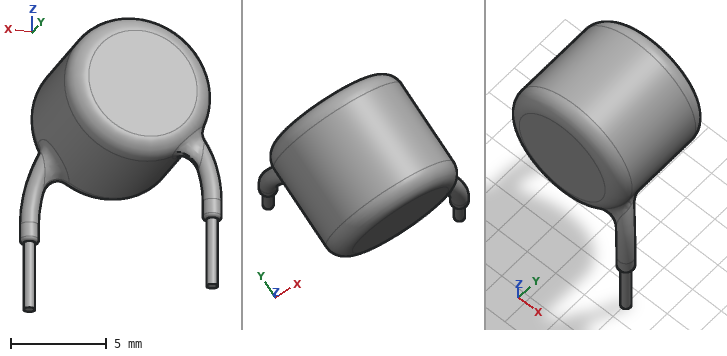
import cadquery as cq
import math

disc_diameter = 8.0
disc_thickness = 7.0
disc_edge_radius = 1.0

lead_spacing_x = 8.01
lead_spacing_y = 6.0
left_side = -1
right_side = 1

sleeve_diameter = 1.0
sleeve_straight_length = 1.0
sleeve_tip_radius = 0.19
bend_start_z = -6.0
bend_radius = 6.9
bend_angle = math.radians(44)
root_fillet_radius = 1.0
sleeve_bottom_z = bend_start_z - sleeve_straight_length

wire_length = 3.8
wire_diameter = 0.6


def bend_point(side, angle):
    """Point on the centreline of a bend, which leans inward at 45 degrees to X and Y."""
    inward = bend_radius * (1 - math.cos(angle)) * math.cos(math.radians(45))
    return cq.Vector(
        side * (lead_spacing_x / 2 - inward),
        -side * (lead_spacing_y / 2 - inward),
        bend_start_z + bend_radius * math.sin(angle),
    )


def lead_plane(side, z):
    """Horizontal workplane centred on the straight part of a lead."""
    return cq.Workplane("XY", origin=(side * lead_spacing_x / 2, -side * lead_spacing_y / 2, z))


def make_disc():
    disc = cq.Workplane("XZ").circle(disc_diameter / 2).extrude(disc_thickness / 2, both=True)
    return disc.faces("|Y").edges().fillet(disc_edge_radius)


def make_sleeve_bend(side):
    """Upper part of a sleeve, curving from the straight end into the disc."""
    centreline = cq.Edge.makeThreePointArc(
        bend_point(side, 0),
        bend_point(side, bend_angle / 2),
        bend_point(side, bend_angle),
    )
    path = cq.Workplane(cq.Wire.assembleEdges([centreline]))
    return lead_plane(side, bend_start_z).circle(sleeve_diameter / 2).sweep(path)


def make_sleeve_end(side):
    """Straight lower part of a sleeve, with a rounded tip."""
    sleeve = lead_plane(side, sleeve_bottom_z).circle(sleeve_diameter / 2).extrude(sleeve_straight_length)
    return sleeve.faces("<Z").edges().fillet(sleeve_tip_radius)


def make_coating():
    """Disc and both sleeves, one continuous coating."""
    coating = make_disc()
    for side in (left_side, right_side):
        coating = coating.union(make_sleeve_bend(side))
    coating = coating.edges("%BSPLINE").fillet(root_fillet_radius)
    for side in (left_side, right_side):
        coating = coating.union(make_sleeve_end(side))
    return coating


def make_wire(side):
    """Bare wire hanging from the tip of a sleeve."""
    return lead_plane(side, sleeve_bottom_z).circle(wire_diameter / 2).extrude(-wire_length)


coating = make_coating()

wires = [make_wire(side).val() for side in (left_side, right_side)]

result = cq.Compound.makeCompound([coating.val(), *wires])